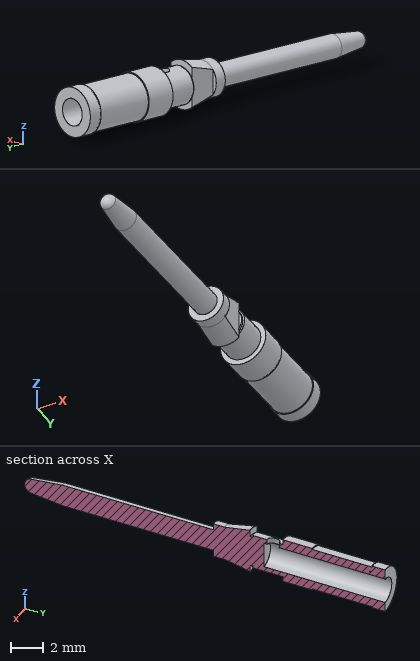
import cadquery as cq

total_length = 25.0
body_diameter = 3.2
barrel_diameter = 3.05
neck_diameter = 2.5
groove_diameter = 2.25
pin_diameter = 1.6
tip_diameter = 1.1
flat_width = 1.9
hole_diameter = 0.82
bore_diameter = 1.75

rear_band_end = 0.92
collar_start = 5.05
collar_end = 7.1
hole_distance = 7.78
neck_end = 9.2
bore_depth = 8.4
cone_start = 9.35
cone_end = 11.15
flange_end = 11.92
taper_start = 22.38
dome_start = 24.6

rear_face = total_length / 2
tip_face = -total_length / 2


def turned_section(start, end, start_diameter, end_diameter):
    """Solid cylinder or cone between two distances from the rear face."""
    profile = [
        (0, rear_face - start),
        (start_diameter / 2, rear_face - start),
        (end_diameter / 2, rear_face - end),
        (0, rear_face - end),
    ]
    return cq.Workplane("XY").polyline(profile).close().revolve(360, (0, 0, 0), (0, 1, 0))


def latch_cone():
    """Retaining cone with two parallel flats facing -X and +X."""
    cone = turned_section(cone_start, cone_end, body_diameter, neck_diameter)
    middle = rear_face - (cone_start + cone_end) / 2
    envelope = cq.Workplane("XY").box(flat_width, cone_end - cone_start, body_diameter)
    return cone.intersect(envelope.translate((0, middle, 0)))


def tip_dome():
    """Spherical cap that closes the tapered end of the pin."""
    rim_radius = tip_diameter / 2
    rim_y = rear_face - dome_start
    height = rim_y - tip_face
    sphere_radius = (rim_radius**2 + height**2) / (2 * height)
    centre_y = tip_face + sphere_radius
    arc_y = tip_face + height / 2
    arc_x = (sphere_radius**2 - (centre_y - arc_y) ** 2) ** 0.5
    profile = (
        cq.Workplane("XY")
        .moveTo(0, rim_y)
        .lineTo(rim_radius, rim_y)
        .threePointArc((arc_x, arc_y), (0, tip_face))
        .close()
    )
    return profile.revolve(360, (0, 0, 0), (0, 1, 0))


def inspection_hole():
    """Cutter for the hole from the top of the neck into the wire bore."""
    hole = cq.Workplane("XY").center(0, rear_face - hole_distance)
    return hole.circle(hole_diameter / 2).extrude(neck_diameter / 2)


turned_sections = [
    (0, rear_band_end, body_diameter, body_diameter),
    (rear_band_end, collar_start, barrel_diameter, barrel_diameter),
    (collar_start, collar_end, body_diameter, body_diameter),
    (collar_end, neck_end, neck_diameter, neck_diameter),
    (neck_end, cone_start, groove_diameter, groove_diameter),
    (cone_end, flange_end, neck_diameter, neck_diameter),
    (flange_end, taper_start, pin_diameter, pin_diameter),
    (taper_start, dome_start, pin_diameter, tip_diameter),
]

result = latch_cone().union(tip_dome())
for section in turned_sections:
    result = result.union(turned_section(*section))
result = result.cut(inspection_hole())
result = result.cut(turned_section(0, bore_depth, bore_diameter, bore_diameter))